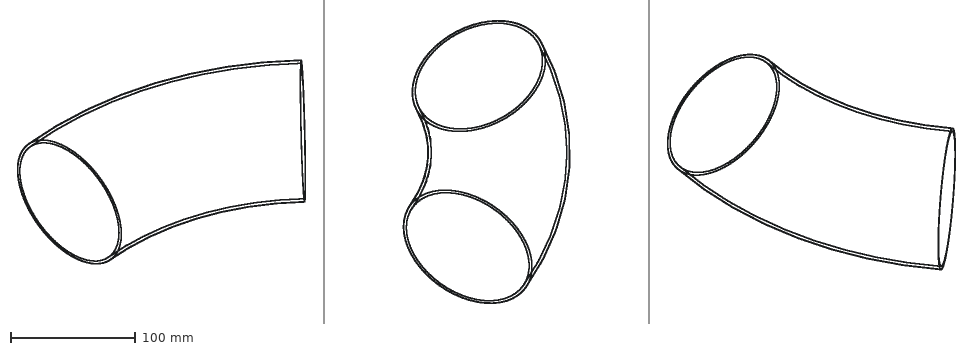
import cadquery as cq

outer_diameter = 114.3
wall_thickness = 2.6
bend_radius = 270.0
bend_angle = 45.0

outer_radius = outer_diameter / 2
inner_radius = outer_radius - wall_thickness


def pipe_elbow():
    """Revolve the ring-shaped pipe section about the bend axis, which is parallel to Z."""
    section = cq.Workplane("XZ").circle(outer_radius).circle(inner_radius)
    axis_start = (bend_radius, 0)
    axis_end = (bend_radius, -1)
    return section.revolve(bend_angle, axis_start, axis_end)


result = pipe_elbow()